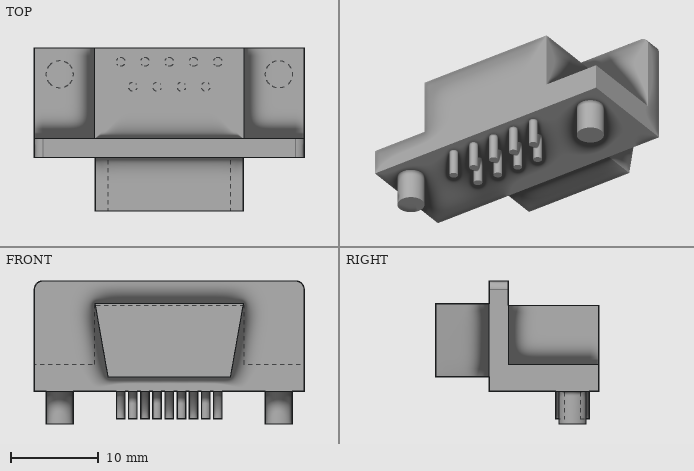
import cadquery as cq
import math


width = 30.81
flange_height = 12.6
flange_thickness = 2.2
flange_corner_radius = 1.0

shell_length = 6.1
shell_top_width = 16.92
shell_height = 8.36
shell_bottom_z = 1.65
shell_side_angle = 10.0
shell_bottom_width = shell_top_width - 2 * shell_height * math.tan(math.radians(shell_side_angle))

housing_depth = 10.3
base_height = 3.07
block_width = 17.0
block_height = 9.8
back_y = flange_thickness + housing_depth

post_count = 2
post_diameter = 3.1
post_length = 3.75
post_spacing = 24.99
pin_diameter = 1.0
pin_length = 3.15
pin_pitch = 2.77
row_spacing = 2.84
back_row_count = 5
front_row_count = 4
footprint_setback = 3.0
footprint_center_y = back_y - footprint_setback


def box(size_x, y_start, size_y, size_z):
    """Block centred in X, standing on the board seat."""
    block = cq.Workplane("XY").box(size_x, size_y, size_z, centered=(True, False, False))
    return block.translate((0, y_start, 0))


def make_flange():
    plate = box(width, 0, flange_thickness, flange_height)
    return plate.edges("|Y and >Z").fillet(flange_corner_radius)


def make_housing():
    base = box(width, flange_thickness, housing_depth, base_height)
    block = box(block_width, flange_thickness, housing_depth, block_height)
    return base.union(block)


def make_shell():
    shell_top_z = shell_bottom_z + shell_height
    corners = [
        (-shell_bottom_width / 2, shell_bottom_z),
        (shell_bottom_width / 2, shell_bottom_z),
        (shell_top_width / 2, shell_top_z),
        (-shell_top_width / 2, shell_top_z),
    ]
    return cq.Workplane("XZ").polyline(corners).close().extrude(shell_length)


def make_row(count, spacing, row_y, diameter, length):
    """Row of round pegs hanging below the board seat, centred in X."""
    first_x = -(count - 1) * spacing / 2
    centers = [(first_x + i * spacing, row_y) for i in range(count)]
    return cq.Workplane("XY").pushPoints(centers).circle(diameter / 2).extrude(-length)


def make_pins():
    back_row_y = footprint_center_y + row_spacing / 2
    front_row_y = footprint_center_y - row_spacing / 2
    back_row = make_row(back_row_count, pin_pitch, back_row_y, pin_diameter, pin_length)
    front_row = make_row(front_row_count, pin_pitch, front_row_y, pin_diameter, pin_length)
    return back_row.add(front_row)


def make_posts():
    return make_row(post_count, post_spacing, footprint_center_y, post_diameter, post_length)


result = make_flange().union(make_housing()).union(make_shell())
result = result.union(make_posts()).union(make_pins())